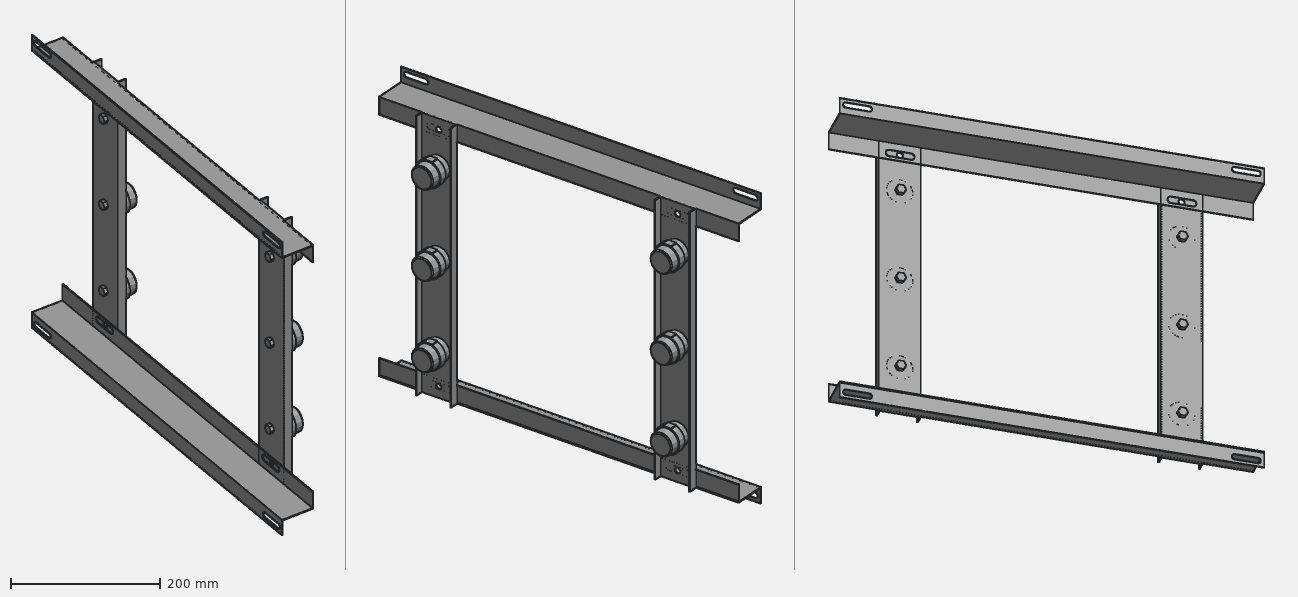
import cadquery as cq

length = 596.0
height = 476.0
depth = 92.0
front_y = -depth / 2
back_y = depth / 2

rail_sheet = 1.5
rail_depth = 51.0
front_flange_height = 25.0
rail_height = 51.0
rail_back_y = front_y + rail_depth
shelf_z = height / 2 - front_flange_height

end_slot_length = 40.5
end_slot_width = 8.5
end_slot_end_gap = 5.0
end_slot_inset = 9.5
end_slot_x = length / 2 - end_slot_end_gap - end_slot_length / 2
end_slot_z = height / 2 - end_slot_inset
joint_slot_length = 40.5
joint_slot_width = 10.0
joint_inset = 41.0
joint_z = height / 2 - joint_inset
joint_hole_diameter = 9.0

strut_x = 198.0
strut_width = 59.0
strut_depth = 14.0
strut_sheet = 2.0
strut_height = 2 * (shelf_z + rail_sheet)
strut_floor_y = rail_back_y + strut_sheet

knob_pitch = 140.0
knob_base_diameter = 37.0
collar_diameter = 42.5
collar_front_y = 19.5
collar_back_y = 31.5
knob_shoulder_diameter = 39.0
knob_tip_diameter = 36.0
knob_tip_chamfer = 2.0
pad_width = 14.5
bolt_head_sides = 6
bolt_head_across_corners = 14.5
bolt_head_height = 6.0


def box(x_min, x_max, y_min, y_max, z_min, z_max):
    size = (x_max - x_min, y_max - y_min, z_max - z_min)
    return cq.Workplane("XY").box(*size, centered=False).translate((x_min, y_min, z_min))


def slot(x, z, slot_length, slot_width, y):
    cutter = cq.Workplane("XZ").slot2D(slot_length, slot_width).extrude(rail_sheet, both=True)
    return cutter.translate((x, y, z))


def make_upper_rail():
    inner_z = height / 2 - rail_height
    shelf_top_z = shelf_z + rail_sheet
    front_flange_back_y = front_y + rail_sheet
    rear_flange_front_y = rail_back_y - rail_sheet
    outline = [
        (front_y, height / 2),
        (front_y, shelf_z),
        (rear_flange_front_y, shelf_z),
        (rear_flange_front_y, inner_z),
        (rail_back_y, inner_z),
        (rail_back_y, shelf_top_z),
        (front_flange_back_y, shelf_top_z),
        (front_flange_back_y, height / 2),
    ]
    rail = cq.Workplane("YZ").polyline(outline).close().extrude(length / 2, both=True)
    for side in (-1, 1):
        end_slot = slot(side * end_slot_x, end_slot_z, end_slot_length, end_slot_width, front_y)
        joint_slot = slot(side * strut_x, joint_z, joint_slot_length, joint_slot_width, rear_flange_front_y)
        rail = rail.cut(end_slot).cut(joint_slot)
    return rail


def make_strut():
    outer_x = strut_width / 2
    inner_x = outer_x - strut_sheet
    end_z = strut_height / 2
    strut = box(-outer_x, outer_x, rail_back_y, rail_back_y + strut_depth, -end_z, end_z)
    channel = box(-inner_x, inner_x, strut_floor_y, back_y, -end_z, end_z)
    holes = (
        cq.Workplane("XZ", origin=(0, strut_floor_y, 0))
        .pushPoints([(0, joint_z), (0, -joint_z)])
        .circle(joint_hole_diameter / 2)
        .extrude(strut_sheet)
    )
    return strut.cut(channel).cut(holes)


def make_knob():
    profile = [
        (0, strut_floor_y),
        (knob_base_diameter / 2, strut_floor_y),
        (knob_base_diameter / 2, collar_front_y),
        (collar_diameter / 2, collar_front_y),
        (collar_diameter / 2, collar_back_y),
        (knob_shoulder_diameter / 2, collar_back_y),
        (knob_tip_diameter / 2, back_y - knob_tip_chamfer),
        (knob_tip_diameter / 2 - knob_tip_chamfer, back_y),
        (0, back_y),
    ]
    knob = cq.Workplane("XY").polyline(profile).close().revolve(360, (0, 0, 0), (0, 1, 0))
    pad = box(-pad_width / 2, pad_width / 2, collar_front_y, collar_back_y, 0, collar_diameter / 2)
    return knob.union(pad)


def make_bolt_head():
    return (
        cq.Workplane("XZ", origin=(0, rail_back_y, 0))
        .polygon(bolt_head_sides, bolt_head_across_corners)
        .extrude(bolt_head_height)
    )


def make_strut_assembly():
    strut = make_strut()
    for level in (-1, 0, 1):
        z = level * knob_pitch
        strut = strut.union(make_knob().translate((0, 0, z)))
        strut = strut.union(make_bolt_head().translate((0, 0, z)))
    return strut


upper_rail = make_upper_rail()
lower_rail = upper_rail.mirror("XY")
result = upper_rail.union(lower_rail)

strut_assembly = make_strut_assembly()
for side in (-1, 1):
    result = result.union(strut_assembly.translate((side * strut_x, 0, 0)))